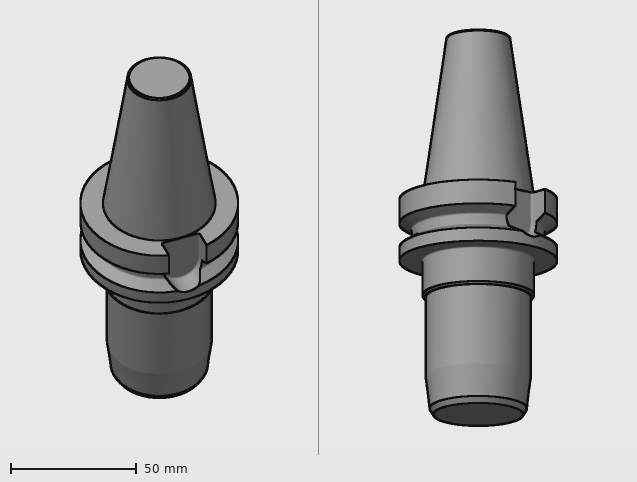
import cadquery as cq

height = 155.4
nose_edge_z = 2.5
nose_taper_z = 15.4
collar_bottom_z = 48.2
flange_bottom_z = 63.2
flange_top_z = 88.5

nose_end_radius = 17.9
nose_edge_radius = 19.5
body_radius = 42.0 / 2
collar_radius = 44.5 / 2
collar_chamfer = 1.0

flange_radius = 63.0 / 2
groove_radius = 53.1 / 2
lower_rim_height = 5.5
upper_rim_height = 9.8
groove_side_height = 2.8
groove_fillet = 0.6
collar_fillet = 0.6

gauge_radius = 44.5 / 2
gauge_depth = 65.5
taper_ratio = 7 / 24
shank_chamfer = 0.6

slot_width = 16.2
slot_floor_x = 22.7
slot_bottom_z = 67.3
slot_floor_fillet = 0.8
cut_clearance = 3.1


def make_turned_body():
    """Revolve the half section of the holder around Z."""
    lower_rim_top_z = flange_bottom_z + lower_rim_height
    upper_rim_bottom_z = flange_top_z - upper_rim_height
    taper_top_radius = gauge_radius - gauge_depth * taper_ratio / 2
    taper_base_radius = taper_top_radius + (height - flange_top_z) * taper_ratio / 2
    chamfer_base_radius = taper_top_radius + shank_chamfer * taper_ratio / 2
    section = [
        (0, 0),
        (nose_end_radius, 0),
        (nose_edge_radius, nose_edge_z),
        (body_radius, nose_taper_z),
        (body_radius, collar_bottom_z),
        (collar_radius - collar_chamfer, collar_bottom_z),
        (collar_radius, collar_bottom_z + collar_chamfer),
        (collar_radius, flange_bottom_z),
        (flange_radius, flange_bottom_z),
        (flange_radius, lower_rim_top_z),
        (groove_radius, lower_rim_top_z + groove_side_height),
        (groove_radius, upper_rim_bottom_z - groove_side_height),
        (flange_radius, upper_rim_bottom_z),
        (flange_radius, flange_top_z),
        (taper_base_radius, flange_top_z),
        (chamfer_base_radius, height - shank_chamfer),
        (taper_top_radius - shank_chamfer, height),
        (0, height),
    ]
    return cq.Workplane("XZ").polyline(section).close().revolve(360, (0, 0), (0, 1))


def fillet_inner_corner(body, z, radius):
    """Fillet the one circular corner edge where the section turns inward at height z."""
    reach = flange_radius - 0.8
    band = 0.2
    corner = cq.selectors.BoxSelector((-reach, -reach, z - band), (reach, reach, z + band), boundingbox=True)
    return body.edges(corner).fillet(radius)


def round_inner_corners(body):
    """Fillet both groove floor corners and the corner between flange and collar."""
    groove_bottom_z = flange_bottom_z + lower_rim_height + groove_side_height
    groove_top_z = flange_top_z - upper_rim_height - groove_side_height
    for z in (groove_bottom_z, groove_top_z):
        body = fillet_inner_corner(body, z, groove_fillet)
    return fillet_inner_corner(body, flange_bottom_z, collar_fillet)


def make_drive_slot():
    """Round-bottomed slot cutter on the +X side, with rounded floor edges."""
    half_width = slot_width / 2
    arc_center_z = slot_bottom_z + half_width
    cutter_top_z = flange_top_z + cut_clearance
    return (
        cq.Workplane("YZ", origin=(slot_floor_x, 0, 0))
        .moveTo(-half_width, cutter_top_z)
        .lineTo(-half_width, arc_center_z)
        .threePointArc((0, slot_bottom_z), (half_width, arc_center_z))
        .lineTo(half_width, cutter_top_z)
        .close()
        .extrude(flange_radius - slot_floor_x + cut_clearance)
        .faces("<X")
        .edges("not >Z")
        .fillet(slot_floor_fillet)
    )


result = round_inner_corners(make_turned_body())
drive_slot = make_drive_slot()
for angle in (0, 180):
    result = result.cut(drive_slot.rotate((0, 0, 0), (0, 0, 1), angle))